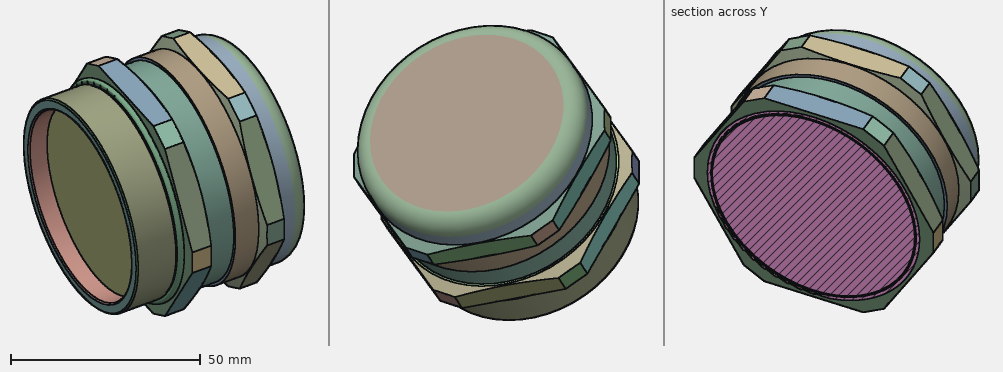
import cadquery as cq
import math

total_length = 52.0

across_flats = 64.0
across_corners = 69.9
front_hex_start = 14.05
front_hex_end = 21.05
rear_hex_start = 36.0
rear_hex_end = 43.0
hex_chamfer_diameter = 63.3
front_hex_chamfer_drop = 1.2
rear_hex_chamfer_front_drop = 0.8
rear_hex_chamfer_rear_drop = 1.0

spigot_diameter = 60.1
spigot_length = 11.9
spigot_chamfer = 0.4
neck_diameter = 62.1
cap_diameter = 63.75
cap_start = 28.95
cap_fillet = 4.9

ring_outer_diameter = 62.9
ring_thickness = 1.95

recess_diameter = 53.8
recess_chamfer = 0.4
recess_depth = 5.6


def disc(diameter, start, end):
    """Cylinder on the Y axis between two Y positions."""
    return (
        cq.Workplane("XZ", origin=(0, start, 0))
        .circle(diameter / 2)
        .extrude(start - end)
    )


def hex_prism(start, end):
    """Hexagon with flats facing +/-Z and its six corners trimmed flat."""
    length = end - start
    full_corners = across_flats / math.cos(math.pi / 6)
    workplane = cq.Workplane("XZ", origin=(0, start, 0))
    hexagon = workplane.polygon(6, full_corners).extrude(-length)
    trim_diameter = across_corners / math.cos(math.pi / 6)
    trim = workplane.transformed(rotate=(0, 0, 30)).polygon(6, trim_diameter).extrude(-length)
    return hexagon.intersect(trim)


def hex_collar(start, end, front_drop, rear_drop):
    """Trimmed hexagon with conical chamfers; a drop is the chamfer depth at the trimmed corners."""
    face_radius = hex_chamfer_diameter / 2
    corner_radius = across_corners / 2
    outside_radius = across_flats / math.sqrt(3)
    drop_ratio = (outside_radius - face_radius) / (corner_radius - face_radius)
    front_edge = start + front_drop * drop_ratio
    rear_edge = end - rear_drop * drop_ratio
    profile = [(0, start)]
    if front_drop > 0:
        profile.append((face_radius, start))
    profile += [(outside_radius, front_edge), (outside_radius, rear_edge), (face_radius, end), (0, end)]
    envelope = cq.Workplane("XY").polyline(profile).close().revolve(360, (0, 0, 0), (0, 1, 0))
    return hex_prism(start, end).intersect(envelope)


def sealing_ring():
    """Round-section ring touching the front face of the front hexagon."""
    tube_radius = ring_thickness / 2
    centre_radius = ring_outer_diameter / 2 - tube_radius
    return (
        cq.Workplane("XY")
        .center(-centre_radius, front_hex_start - tube_radius)
        .circle(tube_radius)
        .revolve(360, (centre_radius, 0, 0), (centre_radius, 1, 0))
    )


groove_diameter = spigot_diameter - 2 * spigot_chamfer
spigot = disc(spigot_diameter, 0, spigot_length + spigot_chamfer).faces("<Y or >Y").chamfer(spigot_chamfer)
groove_floor = disc(groove_diameter, spigot_length, front_hex_start)
neck = disc(neck_diameter, front_hex_end, cap_start)
cap = disc(cap_diameter, cap_start, total_length).faces(">Y").edges().fillet(cap_fillet)
front_hex = hex_collar(front_hex_start, front_hex_end, 0, front_hex_chamfer_drop)
rear_hex = hex_collar(rear_hex_start, rear_hex_end, rear_hex_chamfer_front_drop, rear_hex_chamfer_rear_drop)

body = spigot.union(groove_floor).union(neck).union(cap).union(front_hex).union(rear_hex).union(sealing_ring())
recess = disc(recess_diameter, 0, recess_depth)
recess_mouth = (
    cq.Workplane("XZ")
    .circle(recess_diameter / 2 + recess_chamfer)
    .workplane(offset=-recess_chamfer)
    .circle(recess_diameter / 2)
    .loft(ruled=True)
)
result = body.cut(recess).cut(recess_mouth)